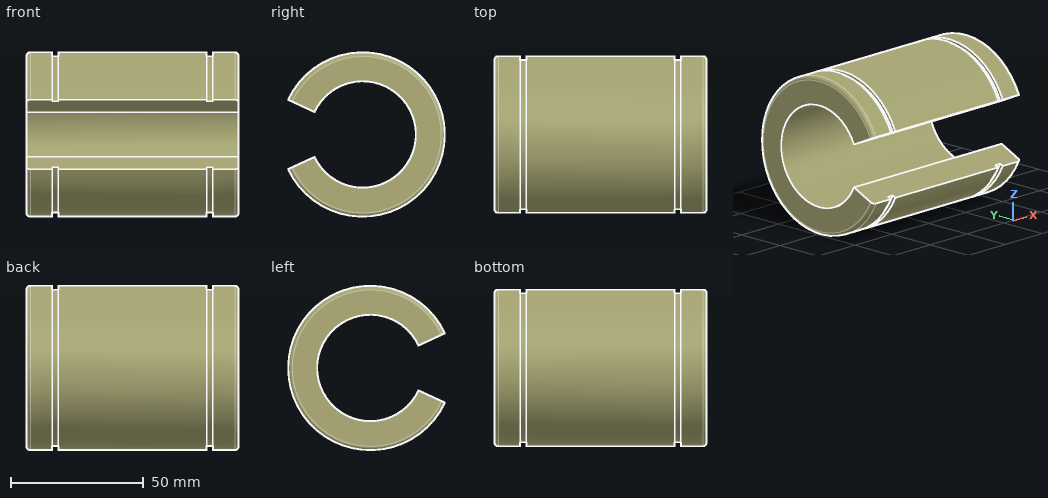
import cadquery as cq
import math

LENGTH = 80.0
OUTER_DIAMETER = 62.0
BORE_DIAMETER = 40.0
OPENING_ANGLE = 49.8
END_FILLET = 1.5
GROOVE_SPAN = 60.6
GROOVE_WIDTH = 2.4
GROOVE_DIAMETER = 59.0


def sleeve():
    """Plain tube with rounded outer end edges."""
    cylinder = cq.Workplane("YZ").circle(OUTER_DIAMETER / 2).extrude(LENGTH / 2, both=True)
    rounded = cylinder.edges("%CIRCLE").fillet(END_FILLET)
    bore = cq.Workplane("YZ").circle(BORE_DIAMETER / 2).extrude(LENGTH / 2, both=True)
    return rounded.cut(bore)


def ring_groove(side):
    """Ring removed for the retaining groove on the given side (-1 or +1) of the middle."""
    centre_x = side * (GROOVE_SPAN - GROOVE_WIDTH) / 2
    return (
        cq.Workplane("YZ", origin=(centre_x, 0, 0))
        .circle(OUTER_DIAMETER / 2)
        .circle(GROOVE_DIAMETER / 2)
        .extrude(GROOVE_WIDTH / 2, both=True)
    )


def opening():
    """Wedge with its tip on the axis that opens the sleeve over its full length."""
    wedge_depth = OUTER_DIAMETER
    half_width = wedge_depth * math.tan(math.radians(OPENING_ANGLE / 2))
    return (
        cq.Workplane("YZ")
        .polyline([(0, 0), (-wedge_depth, half_width), (-wedge_depth, -half_width)])
        .close()
        .extrude(LENGTH / 2, both=True)
    )


result = sleeve()
for side in (-1, 1):
    result = result.cut(ring_groove(side))
result = result.cut(opening())